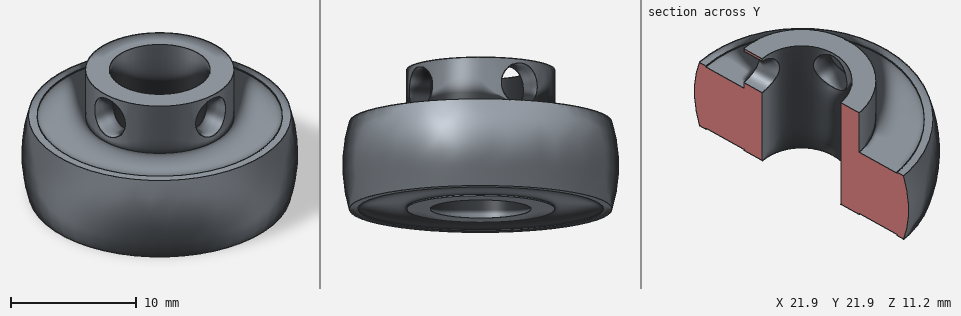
import cadquery as cq

outer_diameter = 21.93
ring_width = 7.0
face_diameter = 20.88

shield_diameter = 19.5
shield_recess = 0.1

collar_diameter = 11.8
bore_diameter = 8.0
total_height = 11.2

screw_diameter = 3.4
screw_height = 9.19
screw_angles = (-90, 0)


def ring_body():
    """Solid of revolution whose outside bulges to full diameter at mid width."""
    return (
        cq.Workplane("XZ")
        .lineTo(face_diameter / 2, 0)
        .threePointArc((outer_diameter / 2, ring_width / 2), (face_diameter / 2, ring_width))
        .lineTo(0, ring_width)
        .close()
        .revolve(360, (0, 0, 0), (0, 1, 0))
    )


def shield_pocket(bottom):
    """Annular recess between the outer ring and the inner ring."""
    return (
        cq.Workplane("XY", origin=(0, 0, bottom))
        .circle(shield_diameter / 2)
        .circle(collar_diameter / 2)
        .extrude(shield_recess)
    )


def screw_hole(angle):
    """Radial cylinder from the bore axis outward at the given angle about Z."""
    return (
        cq.Workplane("YZ", origin=(0, 0, screw_height))
        .circle(screw_diameter / 2)
        .extrude(collar_diameter)
        .rotate((0, 0, 0), (0, 0, 1), angle)
    )


collar = cq.Workplane("XY").circle(collar_diameter / 2).extrude(total_height)
bore = cq.Workplane("XY").circle(bore_diameter / 2).extrude(total_height)

result = ring_body().union(collar).cut(bore)
for pocket_bottom in (0, ring_width - shield_recess):
    result = result.cut(shield_pocket(pocket_bottom))
for screw_angle in screw_angles:
    result = result.cut(screw_hole(screw_angle))